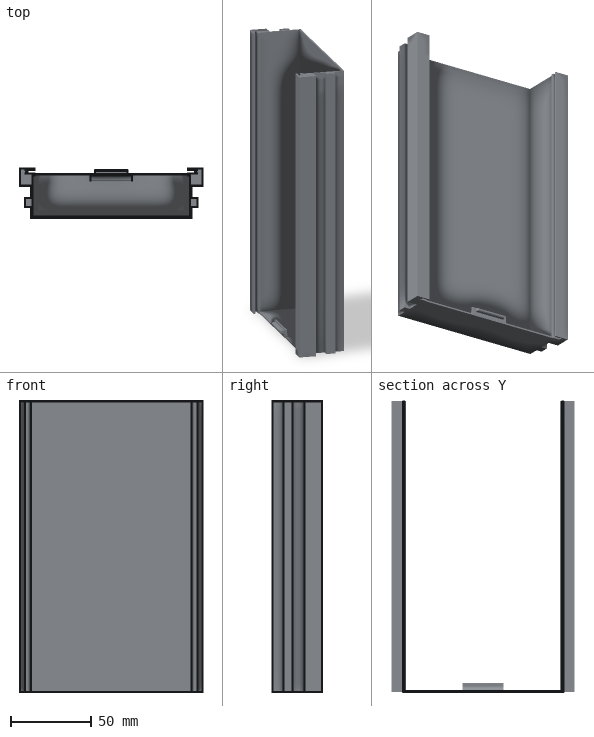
import cadquery as cq

width = 113.7
depth = 31.0
height = 181.0

sheet = 1.0
wall = 1.0
wall_outer_x = 50.0
wall_inner_x = wall_outer_x - wall

rail_outer_x = width / 2
rail_depth = 10.9
lip_x = 47.8
lip_thickness = 1.0
inner_lip_thickness = 1.5
groove_width = 2.0
groove_floor_x = 53.2
groove_ridge = 1.3

rib_outer_x = 53.8
rib_back_y = -18.5
rib_width = 5.6

plate_back_y = -3.6
tab_width = 25.5
tab_thickness = 0.9
tab_height = 4.5
tab_fillet = 3.0
hook_width = 20.5
hook_reach = 2.5
hook_height = 1.8
hook_drop = 0.9
hook_chamfer = 0.5

groove_back_y = -lip_thickness
groove_front_y = groove_back_y - groove_width
groove_mid_y = (groove_back_y + groove_front_y) / 2
rib_front_y = rib_back_y - rib_width


def make_channel():
    """Extrude the right half of the section to full height and mirror it."""
    right_half = (
        cq.Workplane("XY")
        .moveTo(0, -depth)
        .lineTo(wall_outer_x, -depth)
        .lineTo(wall_outer_x, rib_front_y)
        .lineTo(rib_outer_x, rib_front_y)
        .lineTo(rib_outer_x, rib_back_y)
        .lineTo(wall_outer_x, rib_back_y)
        .lineTo(wall_outer_x, -rail_depth)
        .lineTo(rail_outer_x, -rail_depth)
        .lineTo(rail_outer_x, 0)
        .lineTo(lip_x, 0)
        .lineTo(lip_x, groove_back_y)
        .lineTo(groove_floor_x, groove_back_y)
        .lineTo(groove_floor_x - groove_ridge, groove_mid_y)
        .lineTo(groove_floor_x, groove_front_y)
        .lineTo(lip_x, groove_front_y)
        .lineTo(lip_x, groove_front_y - inner_lip_thickness)
        .lineTo(wall_inner_x, groove_front_y - inner_lip_thickness)
        .lineTo(wall_inner_x, -depth + sheet)
        .lineTo(0, -depth + sheet)
        .close()
        .extrude(height)
    )
    return right_half.union(right_half.mirror("YZ"))


def make_end_plate():
    """Close the bottom of the channel, from the front panel back to the inner lips of the rails."""
    plate_depth = depth + plate_back_y
    return (
        cq.Workplane("XY")
        .center(0, plate_back_y - plate_depth / 2)
        .rect(2 * wall_outer_x, plate_depth)
        .extrude(sheet)
    )


def make_latch():
    """Upright tab on the back edge of the plate, filleted at its foot, with a hook pointing back."""
    tab_front_y = plate_back_y - tab_thickness
    tab_top_z = sheet + tab_height
    hook_bottom_z = tab_top_z - hook_drop - hook_height
    tab = (
        cq.Workplane("YZ")
        .moveTo(plate_back_y, 0)
        .lineTo(plate_back_y, tab_top_z)
        .lineTo(tab_front_y, tab_top_z)
        .lineTo(tab_front_y, sheet + tab_fillet)
        .radiusArc((tab_front_y - tab_fillet, sheet), tab_fillet)
        .lineTo(tab_front_y - tab_fillet, 0)
        .close()
        .extrude(tab_width / 2, both=True)
    )
    hook = (
        cq.Workplane("XY", origin=(0, plate_back_y + hook_reach / 2, hook_bottom_z))
        .box(hook_width, hook_reach, hook_height, centered=(True, True, False))
        .faces(">Y")
        .chamfer(hook_chamfer)
    )
    return tab.union(hook)


result = make_channel().union(make_end_plate()).union(make_latch())